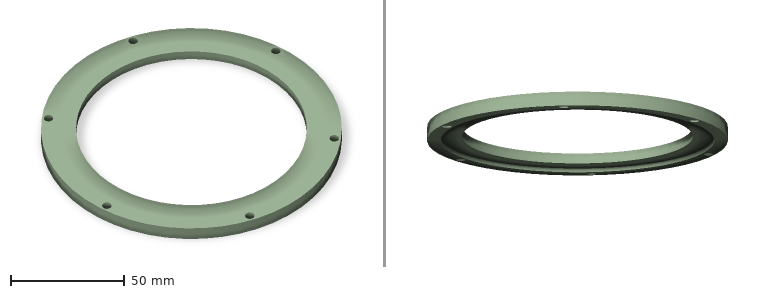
import cadquery as cq

OUTER_DIAMETER = 133.0
INNER_DIAMETER = 102.0
THICKNESS = 6.25

RECESS_DIAMETER = 121.0
RECESS_DEPTH = 1.75

HOLE_DIAMETER = 4.2
HOLE_COUNT = 6
BOLT_CIRCLE_DIAMETER = 127.0
FIRST_HOLE_ANGLE = 90.0


def flat_ring():
    """Plain annular plate resting on the XY plane."""
    return (
        cq.Workplane("XY")
        .circle(OUTER_DIAMETER / 2)
        .circle(INNER_DIAMETER / 2)
        .extrude(THICKNESS)
    )


def underside_recess():
    """Disc that cuts the step into the bottom face, leaving a thin inner flange."""
    return cq.Workplane("XY").circle(RECESS_DIAMETER / 2).extrude(RECESS_DEPTH)


def mounting_holes():
    """Cylinders that cut the evenly spaced through holes."""
    return (
        cq.Workplane("XY")
        .polarArray(BOLT_CIRCLE_DIAMETER / 2, FIRST_HOLE_ANGLE, 360, HOLE_COUNT)
        .circle(HOLE_DIAMETER / 2)
        .extrude(THICKNESS)
    )


result = flat_ring().cut(underside_recess()).cut(mounting_holes())